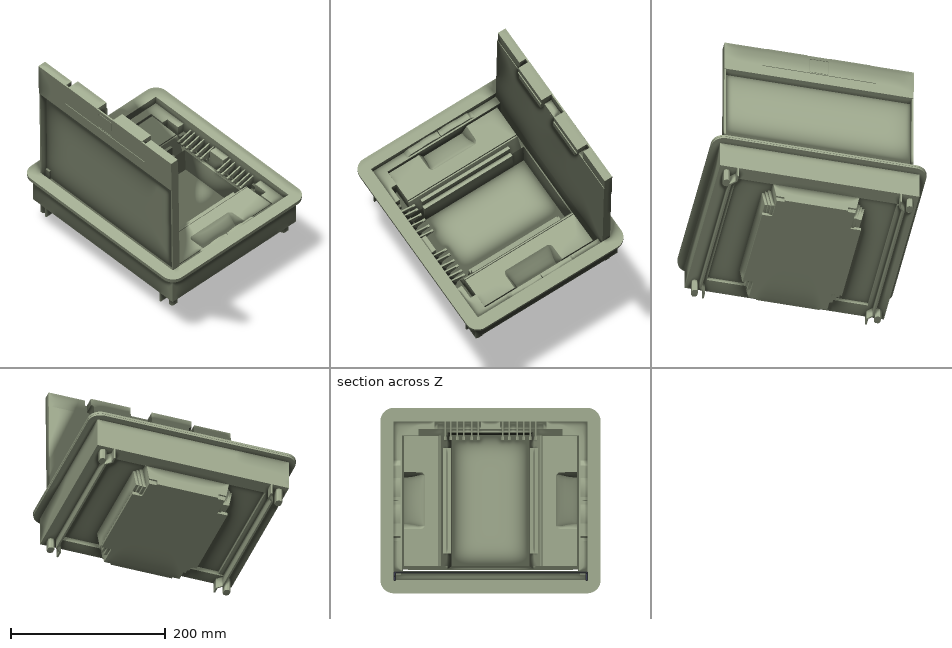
import cadquery as cq
import math

rim_length = 285.0
rim_width = 240.0
overall_height = 267.57
rim_top = 73.3
rim_bottom = 67.6
rim_seam = 70.2
rim_corner_radius = 17.0
rim_lower_inset = 0.4

box_length = 263.5
box_width = 219.2
box_bottom = 25.0
ledge_top = 62.0

opening_half_length = 125.3
opening_back = 102.5
opening_front = -103.0

seat_half_length = 114.5
seat_back = 84.3
seat_front = -91.3
seat_floor = 30.0
passage_half_length = 106.6
passage_half_width = 90.0
slab_top = 36.0
notch_half_length = 93.0
notch_back = 92.6

pocket_inner = 14.1
pocket_outer = 68.5
pocket_step_inner = 12.2
pocket_step_outer = 72.7
pocket_floor = 41.0
pocket_step_floor = 48.0
pocket_step = 99.0
fin_positions = [15.9, 24.2, 34.4, 43.2, 51.7, 58.5]
fin_thickness = 2.0
fin_tip = 78.7
fin_tip_top = 55.0
fin_tip_bottom = 52.0
fin_wall_top = 61.0
fin_root = 2.0
fin_hook_length = 4.0
fin_hook_width = 3.2

clip_depth = 8.7
clip_half_width = 52.2
clip_slope = 6.5
clip_toe_length = 3.7
clip_toe_height = 1.0
clip_height = 4.0
clip_bump_offset = 17.2
clip_bump_half_width = 12.3
clip_bump_rise = 1.6
clip_groove_width = 1.0

post_outer = 125.4
post_thickness = 8.4
post_half_width = 5.8
post_offset = 98.6
post_chamfer = 2.4
post_bottoms = {-1: 5.2, 1: 9.8}
rail_bottom = 10.0
rail_outer = 115.8
rail_thickness = 2.4
rail_jog_start = 93.0
rail_jog_end = 99.6

panel_inner = 67.3
panel_outer = 112.2
panel_front = -84.6
panel_back = 83.8
panel_outer_height = 60.2
panel_tilt = 2.0
slit_half_length = 114.0
slab_front = -90.0
slit_back = -89.0
lip_outer = 66.2
lip_inner = 64.6
lip_top = 58.0
trough_half_length = 55.7
trough_half_width = 88.4
trough_floor = 7.0
trough_floor_half_length = 50.2
trough_floor_half_width = 84.9
shelf_half_width = 68.2
shelf_root = 61.8
upper_shelf_edge = 57.2
lower_shelf_edge = 51.4
upper_shelf_height = 53.0
lower_shelf_height = 41.0

tray_half_width = 88.8
tray_taper = math.tan(math.radians(10.0))
tray_layers = [
    (58.3, 0.0, tray_half_width),
    (62.2, 2.4, 75.0),
    (65.5, 5.0, 72.2),
    (69.0, 8.0, 69.0),
]
foot_half_length = 65.4
foot_half_width = 58.5
foot_height = 4.5
corner_notch_inner = 42.0
corner_notch_start = 86.4
corner_notch_height = 6.2

recess_half_width = 37.0
recess_inner = 84.2
recess_corner = 7.0
recess_depth = 14.0
recess_end_slope = 7.0

lid_lean = 0.75
lid_half_length = 125.3
lid_back = -91.1
lid_front = -103.6
lid_side_front = -102.7
lid_bottom = ledge_top + 0.4
lid_top = 266.9
lid_step = 217.6
back_relief_depth = 0.8
cover_pocket_half_length = 123.0
cover_pocket_depth = 10.0
corner_block_length = 7.0
corner_block_top = 76.3
corner_block_setback = 7.0

handle_half_length = 75.0
handle_bottom = 234.2
handle_gap = 0.9
handle_plate_thickness = 2.0
handle_body_half_length = 69.2
handle_body_bottom = 243.6
handle_body_back = -85.3
handle_block_bottom = 256.0
handle_block_back = -86.5
finger_gap_half_length = 14.6
finger_gap_floor = 250.0
handle_undercut = 4.0
handle_undercut_radius = 3.5
handle_plate_drop = 0.6
button_size = 25.0
button_center = 249.0
button_groove = 0.6
button_corner = 1.5


def block(x_range, y_range, z_range):
    """Axis-aligned box between pairs of coordinates."""
    return cq.Workplane("XY").box(
        x_range[1] - x_range[0], y_range[1] - y_range[0], z_range[1] - z_range[0], centered=False
    ).translate((x_range[0], y_range[0], z_range[0]))


def centered_block(half_length, y_range, z_range):
    return block((-half_length, half_length), y_range, z_range)


def side_block(side, inner, outer, y_range, z_range):
    """Box on the left (side = -1) or right (side = 1) of the part."""
    return block(sorted((side * inner, side * outer)), y_range, z_range)


def prism_along_y(points, half_width):
    """XZ outline extruded symmetrically about Y = 0."""
    return cq.Workplane("XZ").polyline(points).close().extrude(half_width, both=True)


def mirrored(points):
    return points + [(-x, z) for x, z in reversed(points)]


def rim():
    def layer(inset, bottom, top):
        slab = cq.Workplane("XY").workplane(offset=bottom)
        slab = slab.rect(rim_length - 2 * inset, rim_width - 2 * inset).extrude(top - bottom)
        return slab.edges("|Z").fillet(rim_corner_radius - inset)

    return layer(0, rim_seam, rim_top).union(layer(rim_lower_inset, rim_bottom, rim_seam))


def seat_cut():
    seat = centered_block(seat_half_length, (seat_front, seat_back), (seat_floor, ledge_top))
    notch = centered_block(notch_half_length, (0, notch_back), (seat_floor, ledge_top))
    passage = centered_block(
        passage_half_length, (-passage_half_width, passage_half_width), (box_bottom, seat_floor)
    )
    slits = centered_block(
        slit_half_length, (seat_front, slit_back), (box_bottom, seat_floor)
    )
    return seat.union(notch).union(passage).union(slits)


def fin(x):
    outline = [
        (opening_back, pocket_floor),
        (opening_back, fin_wall_top),
        (fin_tip, fin_tip_top),
        (fin_tip, fin_tip_bottom),
        (notch_back - fin_root, pocket_step_floor),
        (notch_back, pocket_floor),
    ]
    plate = cq.Workplane("YZ").polyline(outline).close().extrude(fin_thickness / 2, both=True)
    hook = centered_block(
        fin_hook_width / 2, (fin_tip, fin_tip + fin_hook_length), (fin_tip_bottom, fin_tip_top)
    )
    return plate.union(hook).translate((x, 0, 0))


def side_clip(side):
    top = ledge_top + clip_height
    bump_start = clip_bump_offset - clip_bump_half_width
    bump_end = clip_bump_offset + clip_bump_half_width
    outline = (
        cq.Workplane("YZ")
        .moveTo(-clip_half_width, ledge_top)
        .lineTo(-clip_half_width, ledge_top + clip_toe_height)
        .lineTo(clip_toe_length - clip_half_width, ledge_top + clip_toe_height)
        .lineTo(clip_slope - clip_half_width, top)
        .lineTo(-bump_end, top)
        .threePointArc((-clip_bump_offset, top + clip_bump_rise), (-bump_start, top))
        .lineTo(bump_start, top)
        .threePointArc((clip_bump_offset, top + clip_bump_rise), (bump_end, top))
        .lineTo(clip_half_width - clip_slope, top)
        .lineTo(clip_half_width, ledge_top)
        .close()
    )
    clip = outline.extrude(clip_depth)
    groove = block((0, clip_depth), (-clip_groove_width / 2, clip_groove_width / 2), (ledge_top, top))
    clip = clip.cut(groove)
    inner = opening_half_length - clip_depth
    return clip.translate((inner if side > 0 else -opening_half_length, 0, 0))


def post(side, y):
    """Eight-sided screw post under the box."""
    leg = side_block(
        side,
        post_outer - post_thickness,
        post_outer,
        (y - post_half_width, y + post_half_width),
        (post_bottoms[side], box_bottom),
    )
    return leg.edges("|Z").chamfer(post_chamfer)


def lower_rail(side):
    """Thin wall under the box that jogs inward past the posts at both ends."""
    jog = rail_jog_end - rail_jog_start
    end = box_width / 2
    outer = [
        (rail_outer, rail_jog_start),
        (rail_outer - jog, rail_jog_end),
        (rail_outer - jog, end),
    ]
    inner = [(x - rail_thickness, y) for x, y in reversed(outer)]
    half = outer + inner
    outline = half + [(x, -y) for x, y in reversed(half)]
    points = [(side * x, y) for x, y in outline]
    wall = cq.Workplane("XY").workplane(offset=rail_bottom).polyline(points).close()
    return wall.extrude(box_bottom - rail_bottom)


def make_frame():
    frame = centered_block(
        box_length / 2, (-box_width / 2, box_width / 2), (box_bottom, rim_bottom)
    ).union(rim())
    frame = frame.cut(
        centered_block(opening_half_length, (opening_front, opening_back), (ledge_top, rim_top))
    )
    frame = frame.cut(seat_cut())
    for side in (-1, 1):
        frame = frame.cut(
            side_block(side, pocket_inner, pocket_outer, (notch_back, pocket_step), (pocket_floor, ledge_top))
        )
        frame = frame.cut(
            side_block(
                side,
                pocket_step_inner,
                pocket_step_outer,
                (notch_back, opening_back),
                (pocket_step_floor, ledge_top),
            )
        )
        for x in fin_positions:
            frame = frame.union(fin(side * x))
        frame = frame.union(side_clip(side)).union(lower_rail(side))
        for y in (-post_offset, post_offset):
            frame = frame.union(post(side, y))
    return frame


def base_slab():
    slab = centered_block(seat_half_length, (slab_front, seat_back), (seat_floor, slab_top))
    slab = slab.union(centered_block(notch_half_length, (0, notch_back), (seat_floor, slab_top)))
    for side in (-1, 1):
        slab = slab.cut(
            side_block(
                side,
                passage_half_length,
                seat_half_length,
                (slab_front, slit_back),
                (seat_floor, slab_top),
            )
        )
    return slab


def tray_shell():
    """Tapered tray below the slab: an end-to-end section and thicker, shorter side layers."""
    shell = None
    for top_half_length, bottom, half_width in tray_layers:
        bottom_half_length = top_half_length - (slab_top - bottom) * tray_taper
        profile = mirrored([(top_half_length, slab_top), (bottom_half_length, bottom)])
        layer = prism_along_y(profile, half_width)
        shell = layer if shell is None else shell.union(layer)
    return shell


def flange():
    return centered_block(foot_half_length, (-foot_half_width, foot_half_width), (0, foot_height))


def corner_notches():
    """Steps cut into the bottom corners of both tray ends."""
    cuts = cq.Workplane("XY")
    for side in (-1, 1):
        for y_range in ((-tray_half_width, -corner_notch_start), (corner_notch_start, tray_half_width)):
            cuts = cuts.add(
                side_block(side, corner_notch_inner, tray_layers[0][0], y_range, (0, corner_notch_height))
            )
    return cuts.combine()


def lower_trough():
    return (
        cq.Workplane("XY")
        .workplane(offset=trough_floor)
        .rect(2 * trough_floor_half_length, 2 * trough_floor_half_width)
        .workplane(offset=slab_top - trough_floor)
        .rect(2 * trough_half_length, 2 * trough_half_width)
        .loft(ruled=True)
    )


def finger_recess():
    """Scoop on the left panel, curved toward the centre and open at the outer edge."""
    length = panel_outer - recess_inner
    radius = (length**2 + recess_depth**2) / (2 * recess_depth)
    half_angle = math.asin(length / radius) / 2
    floor = panel_outer_height - recess_depth
    middle = (radius * math.sin(half_angle) - panel_outer, floor + radius * (1 - math.cos(half_angle)))
    scoop = (
        cq.Workplane("XZ")
        .moveTo(-panel_outer, floor)
        .threePointArc(middle, (-recess_inner, panel_outer_height))
        .lineTo(-panel_outer, panel_outer_height)
        .close()
        .extrude(recess_half_width, both=True)
    )
    outline = (
        cq.Workplane("XY")
        .workplane(offset=panel_outer_height)
        .center(-panel_outer, 0)
        .rect(2 * length, 2 * recess_half_width)
        .extrude(-recess_depth, taper=math.degrees(math.atan2(recess_end_slope, recess_depth)))
        .edges("not(#Z)")
        .edges("not(|X or |Y)")
        .fillet(recess_corner)
    )
    return scoop.intersect(outline)


def panel():
    """Left side panel, its top falling slightly toward the trough."""
    inner_height = panel_outer_height - (panel_outer - panel_inner) * math.tan(math.radians(panel_tilt))
    profile = [
        (-panel_outer, slab_top),
        (-panel_outer, panel_outer_height),
        (-panel_inner, inner_height),
        (-panel_inner, slab_top),
    ]
    body = cq.Workplane("XZ").polyline(profile).close().extrude(panel_back - panel_front)
    return body.translate((0, panel_back, 0)).cut(finger_recess())


def trough_wall():
    """Sloping lip between the left panel and the trough."""
    profile = [
        (-lip_outer, slab_top),
        (-lip_outer, lip_top),
        (-lip_inner, lip_top),
        (-trough_half_length, slab_top),
    ]
    wall = cq.Workplane("XZ").polyline(profile).close().extrude(seat_back - panel_front)
    return wall.translate((0, seat_back, 0))


def shelf():
    """Stepped mounting bar along the left trough wall, its steps square to the wall."""
    profile = [
        (-trough_floor_half_length, trough_floor),
        (-lower_shelf_edge, lower_shelf_height),
        (-upper_shelf_edge, lower_shelf_height - (upper_shelf_edge - lower_shelf_edge) * tray_taper),
        (-upper_shelf_edge, upper_shelf_height),
        (-shelf_root, upper_shelf_height - (shelf_root - upper_shelf_edge) * tray_taper),
        (-shelf_root, slab_top),
    ]
    return prism_along_y(profile, shelf_half_width)


def make_insert():
    insert = base_slab().union(tray_shell().cut(corner_notches())).union(flange()).cut(lower_trough())
    for part in (panel(), trough_wall(), shelf()):
        insert = insert.union(part).union(part.mirror("YZ"))
    return insert


def lean(body):
    return body.rotate((0, lid_back, rim_top), (1, lid_back, rim_top), lid_lean)


def handle_top():
    """Upright height whose leaned back corner reaches the overall height."""
    angle = math.radians(lid_lean)
    back_rise = (handle_block_back - lid_back) * math.sin(angle)
    return rim_top + (overall_height - rim_top - back_rise) / math.cos(angle)


def make_lid():
    upper = centered_block(lid_half_length, (lid_front, lid_back), (lid_step, lid_top))
    lower = centered_block(lid_half_length, (lid_side_front, lid_back), (lid_bottom, lid_step))
    cover_pocket = centered_block(
        cover_pocket_half_length,
        (lid_side_front, lid_side_front + cover_pocket_depth),
        (lid_bottom, lid_step),
    )
    lid = upper.union(lower.cut(cover_pocket))
    for side in (-1, 1):
        lid = lid.union(
            side_block(
                side,
                cover_pocket_half_length - corner_block_length,
                cover_pocket_half_length,
                (lid_side_front + corner_block_setback, lid_back),
                (lid_bottom, corner_block_top),
            )
        )
    window = centered_block(handle_half_length, (lid_front, lid_back), (handle_body_bottom, lid_top))
    plate_recess = centered_block(
        handle_half_length, (lid_front, lid_front + handle_plate_thickness), (handle_bottom, lid_top)
    )
    back_relief = centered_block(
        lid_half_length, (lid_back - back_relief_depth, lid_back), (handle_body_bottom, lid_top)
    )
    return lean(lid.cut(window).cut(plate_recess).cut(back_relief))


def button_outline():
    def rounded_square(size):
        square = cq.Workplane("XZ").center(0, button_center).rect(size, size).extrude(button_groove)
        return square.edges("|Y").fillet(button_corner)

    return rounded_square(button_size).cut(rounded_square(button_size - 2 * button_groove))


def make_handle():
    plate_back = lid_front + handle_plate_thickness
    top = handle_top()
    handle = centered_block(
        handle_half_length, (lid_front, plate_back), (handle_bottom + handle_gap, top - handle_plate_drop)
    )
    for side in (-1, 1):
        body = side_block(
            side,
            0,
            handle_body_half_length,
            (plate_back, handle_body_back),
            (handle_body_bottom, handle_block_bottom),
        )
        undercut = side_block(
            side,
            handle_body_half_length - handle_undercut,
            handle_body_half_length,
            (plate_back, handle_body_back),
            (handle_body_bottom, handle_block_bottom),
        )
        inner_edge = undercut.edges("|Y").edges(">Z").edges("<X" if side > 0 else ">X")
        undercut = inner_edge.fillet(handle_undercut_radius)
        finger_gap = side_block(
            side, 0, finger_gap_half_length, (plate_back, handle_body_back), (finger_gap_floor, top)
        )
        rear_gap = side_block(
            side, 0, finger_gap_half_length, (lid_back, handle_body_back), (handle_body_bottom, top)
        )
        grip = side_block(
            side,
            finger_gap_half_length,
            handle_body_half_length,
            (lid_front, handle_block_back),
            (handle_block_bottom, top),
        )
        handle = handle.union(body.cut(undercut).cut(finger_gap).cut(rear_gap)).union(grip)
    groove = button_outline().translate((0, lid_front + button_groove, 0))
    return lean(handle.cut(groove))


frame = make_frame()
insert = make_insert()
lid = make_lid()
handle = make_handle()

result = cq.Compound.makeCompound([frame.val(), insert.val(), lid.val(), handle.val()])